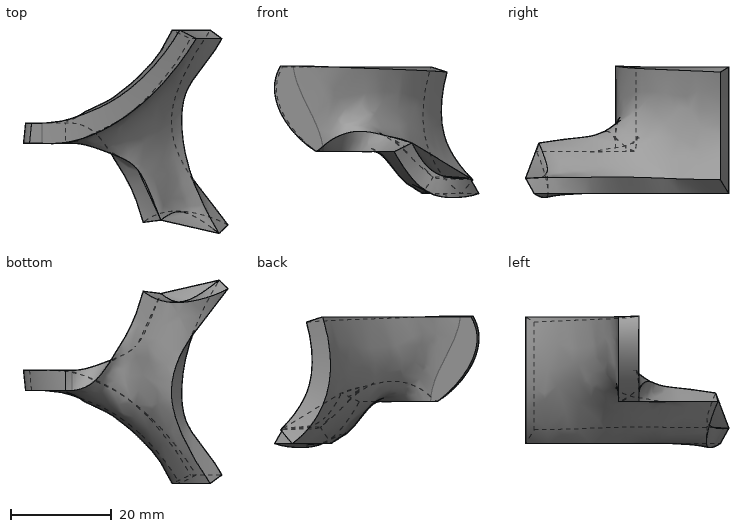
import cadquery as cq


TAB_FRONT_Y = 17.9
TAB_BACK_Y = 21.95
TOP_Z = 26.2
OUTER_TOP_Z = 26.03
TAB_JOIN_X = 3.75
LEDGE_Z = 9.15
FOOT_Z = 0.8
END_Y = 40.43
INNER_END_Y = 38.7

inner_tab_top = (1.2, TAB_FRONT_Y, TOP_Z)
inner_join_top = (TAB_JOIN_X, TAB_FRONT_Y, TOP_Z)
inner_end_top = (34.33, INNER_END_Y, 24.97)
inner_end_foot = (39.45, INNER_END_Y, 3.58)
inner_toe = (38.9, 0.0, 3.9)
inner_heel = (27.35, 2.65, 10.9)
inner_join_low = (9.65, TAB_FRONT_Y, 10.15)
inner_tab_low = (8.35, TAB_FRONT_Y, LEDGE_Z)

outer_tab_top = (1.63, TAB_BACK_Y, OUTER_TOP_Z)
outer_join_top = (TAB_JOIN_X, TAB_BACK_Y, OUTER_TOP_Z)
outer_end_top = (31.07, END_Y, OUTER_TOP_Z)
outer_end_foot = (37.15, END_Y, FOOT_Z)
outer_toe = (40.65, 1.7, FOOT_Z)
outer_heel = (23.8, 2.2, LEDGE_Z)
outer_join_low = (9.65, TAB_BACK_Y, LEDGE_Z)
outer_tab_low = (8.35, TAB_BACK_Y, LEDGE_Z)


def curve(*points):
    """Smooth edge through the points, straight when there are only two."""
    vectors = [cq.Vector(*point) for point in points]
    if len(vectors) == 2:
        return cq.Edge.makeLine(*vectors)
    return cq.Edge.makeSpline(vectors)


top_rim = (
    curve(inner_join_top, (8.55, 18.1, 26.1), (15.37, 20.35, 25.83), (21.05, 23.8, 25.62),
          (27.35, 29.4, 25.38), inner_end_top),
    curve(outer_join_top, (7.05, 22.25, OUTER_TOP_Z), (11.2, 23.43, OUTER_TOP_Z),
          (17.45, 26.25, OUTER_TOP_Z), (25.2, 32.55, OUTER_TOP_Z), outer_end_top),
)
back_end = (
    curve(inner_end_top, (33.2, INNER_END_Y, 17.5), (34.15, INNER_END_Y, 11.22),
          (35.9, INNER_END_Y, 7.85), inner_end_foot),
    curve(outer_end_top, (29.53, END_Y, 17.1), (30.3, END_Y, 10.57),
          (32.55, END_Y, 5.7), outer_end_foot),
)
foot_rim = (
    curve(inner_end_foot, (35.8, 33.35, 3.65), (32.3, 27.85, 3.85), (31.48, 22.12, 4.05),
          (33.6, 10.95, 4.05), (36.2, 4.9, 4.05), inner_toe),
    curve(outer_end_foot, (30.9, 29.3, FOOT_Z), (29.4, 21.95, FOOT_Z),
          (31.3, 14.65, FOOT_Z), (37.2, 6.25, FOOT_Z), outer_toe),
)
front_end = (
    curve(inner_toe, (35.6, 2.45, 3.85), (31.48, 4.3, 5.3), (28.88, 3.75, 8.15), inner_heel),
    curve(outer_toe, (35.8, 3.65, 0), (30.9, 4.47, 0.9), (26.85, 3.9, 4.47), outer_heel),
)
left_leg = (
    curve(inner_heel, (24.73, 9.1, 11.8), (21.9, 13.55, 12.4), (17.1, 16.0, 13.2), (12.2, 17.6, 12.0),
          inner_join_low),
    curve(outer_heel, (21.05, 9.65, LEDGE_Z), (17.7, 15.45, LEDGE_Z), (13.83, 20.35, LEDGE_Z),
          outer_join_low),
)
tab_join = (
    curve(inner_join_low, (9.15, TAB_FRONT_Y, 12.3), (6.5, TAB_FRONT_Y, 18.3), inner_join_top),
    curve(outer_join_low, (9.15, TAB_BACK_Y, 12.3), (6.5, TAB_BACK_Y, 18.3), outer_join_top),
)
tab_top = (
    curve(inner_tab_top, inner_join_top),
    curve(outer_tab_top, outer_join_top),
)
tab_low = (
    curve(inner_join_low, inner_tab_low),
    curve(outer_join_low, outer_tab_low),
)
tab_side = (
    curve(inner_tab_low, (3.15, TAB_FRONT_Y, 13.83), (0, TAB_FRONT_Y, 21.55), inner_tab_top),
    curve(outer_tab_low, (3.55, TAB_BACK_Y, 13.83), (0.4, TAB_BACK_Y, 21.55), outer_tab_top),
)

sheet_rim = [top_rim, back_end, foot_rim, front_end, left_leg]
tab_rim = [tab_top, tab_low, tab_side]

inner_middle = [
    (25.2, 25.25, 14.07),
    (30.35, 31.72, 11.67),
    (19.0, 21.65, 17.9),
    (26.25, 18.35, 8.95),
    (27.95, 30.75, 17.95),
    (13.4, 19.5, 18.65),
    (28.05, 24.2, 8.95),
    (28.2, 12.0, 7.45),
    (22.25, 20.1, 12.97),
]
outer_middle = [
    (22.45, 29.8, 13),
    (22.9, 23.25, 7.1),
    (16.2, 25.62, 17.1),
    (27.6, 33.45, 8.17),
    (25.75, 34.25, 19.0),
    (24.8, 12.4, 4.5),
    (18.42, 24.85, 11.75),
    (25.8, 28.05, 6.63),
    (11.45, 23.7, 19.45),
]

flush_places = [(4.47, 16.25), (2.45, 20.35), (1.63, 24.4)]
inner_middle += [(x, TAB_FRONT_Y, z) for x, z in flush_places]
outer_middle += [(x, TAB_BACK_Y, z) for x, z in flush_places]

strips = [cq.Face.makeRuledSurface(inner, outer) for inner, outer in sheet_rim + tab_rim]
skins = []
for side, middle in enumerate((inner_middle, outer_middle)):
    skin_edges = [pair[side] for pair in sheet_rim + [tab_join]]
    skins.append(cq.Face.makeNSidedSurface(skin_edges, [cq.Vector(*p) for p in middle]))
    tab_edges = [pair[side] for pair in tab_rim + [tab_join]]
    tab_outline = cq.Wire.combine(tab_edges)[0]
    skins.append(cq.Face.makeFromWires(tab_outline))

shell = cq.Shell.makeShell(strips + skins)
result = cq.Workplane(obj=cq.Solid.makeSolid(shell))